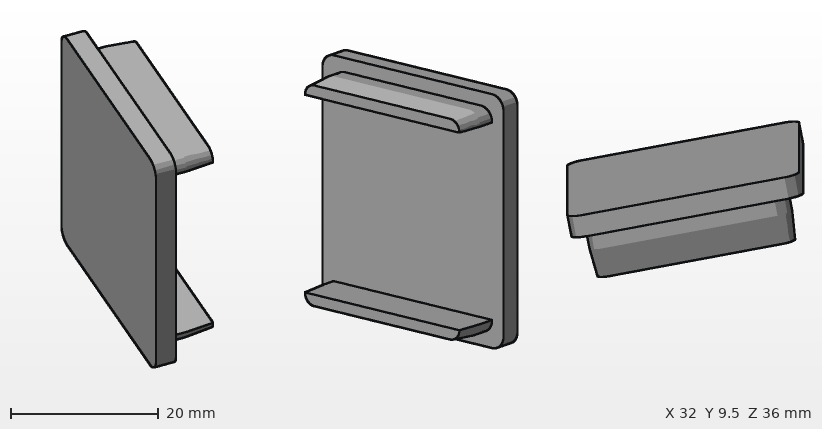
import cadquery as cq

PLATE_WIDTH = 32.0
PLATE_HEIGHT = 36.0
PLATE_THICKNESS = 3.0
CORNER_RADIUS = 2.0

TONGUE_INSET = 2.0
TONGUE_THICKNESS = 2.0
TONGUE_STRAIGHT_LENGTH = 2.5
TONGUE_TAPER_LENGTH = 4.0
TONGUE_TAPER_ANGLE = 5.0

PLUG_WIDTH = PLATE_WIDTH - 2 * TONGUE_INSET
PLUG_HEIGHT = PLATE_HEIGHT - 2 * TONGUE_INSET
TONGUE_LENGTH = TONGUE_STRAIGHT_LENGTH + TONGUE_TAPER_LENGTH
TAPER_START = PLATE_THICKNESS + TONGUE_STRAIGHT_LENGTH


def rounded_rectangle(width, height, y_position):
    """Sketch a centred rectangle with rounded corners, facing +Y."""
    plane = cq.Plane(origin=(0, y_position, 0), xDir=(-1, 0, 0), normal=(0, 1, 0))
    outline = cq.Sketch().rect(width, height).vertices().fillet(CORNER_RADIUS)
    return cq.Workplane(plane).placeSketch(outline)


def make_plate():
    return rounded_rectangle(PLATE_WIDTH, PLATE_HEIGHT, 0).extrude(PLATE_THICKNESS)


def make_tongues():
    """Build a tapered plug and remove its middle, leaving the two tongues."""
    straight = rounded_rectangle(PLUG_WIDTH, PLUG_HEIGHT, PLATE_THICKNESS).extrude(TONGUE_STRAIGHT_LENGTH)
    tapered = rounded_rectangle(PLUG_WIDTH, PLUG_HEIGHT, TAPER_START).extrude(
        TONGUE_TAPER_LENGTH, taper=TONGUE_TAPER_ANGLE
    )
    gap = (
        cq.Workplane("XY")
        .box(PLUG_WIDTH, TONGUE_LENGTH, PLUG_HEIGHT - 2 * TONGUE_THICKNESS, centered=(True, False, True))
        .translate((0, PLATE_THICKNESS, 0))
    )
    return straight.union(tapered).cut(gap)


result = make_plate().union(make_tongues())